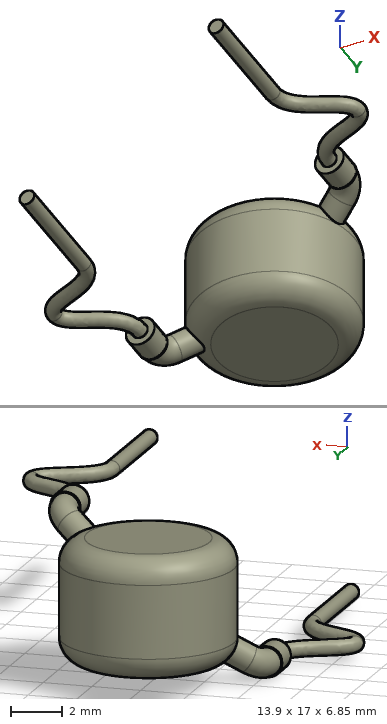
import cadquery as cq
import math

disc_diameter = 7.0
disc_height = 5.0
disc_edge_radius = 1.0

lead_diameter = 0.65
lead_x = 4.13
lead_z = 2.8
lead_end_y = -13.5
crimp_offset = 2.5
crimp_half_length = 2.5
crimp_base_handle = 1.6
crimp_peak_handle = 1.02

collar_diameter = 1.25
collar_length = 1.14
neck_diameter = 1.17
elbow_radius = 1.0
elbow_angle = 65.0
neck_end_x = 2.04

collar_end_y = -disc_diameter / 2
collar_start_y = collar_end_y + collar_length
crimp_middle_y = collar_end_y - crimp_half_length
crimp_end_y = crimp_middle_y - crimp_half_length
neck_roll = math.atan2(lead_z, lead_x)


def rod_along_y(diameter, start_y, end_y):
    """Straight round rod on the upper lead axis, running towards -Y."""
    plane = cq.Plane(origin=(lead_x, start_y, lead_z), xDir=(1, 0, 0), normal=(0, -1, 0))
    return cq.Workplane(plane).circle(diameter / 2).extrude(start_y - end_y)


def opposite(body):
    """The same body turned half a turn about Y."""
    return body.rotate((0, 0, 0), (0, 1, 0), 180)


def make_neck():
    """Elbow from the collar, followed by a straight run into the disc."""
    angle = math.radians(elbow_angle)

    def elbow_point(turn):
        return (elbow_radius * (1 - math.cos(turn)), elbow_radius * math.sin(turn))

    elbow_end = elbow_point(angle)
    run_length = (lead_x - neck_end_x) / math.cos(neck_roll) - elbow_end[0]
    neck_end = (elbow_end[0] + run_length, elbow_end[1] + run_length / math.tan(angle))

    inward = (-math.cos(neck_roll), 0, -math.sin(neck_roll))
    normal = (math.sin(neck_roll), 0, -math.cos(neck_roll))
    start = (lead_x, collar_start_y, lead_z)
    path = (
        cq.Workplane(cq.Plane(origin=start, xDir=inward, normal=normal))
        .threePointArc(elbow_point(angle / 2), elbow_end)
        .lineTo(*neck_end)
    )
    section = cq.Plane(origin=start, xDir=(1, 0, 0), normal=(0, 1, 0))
    return cq.Workplane(section).circle(neck_diameter / 2).sweep(path)


def make_lead():
    """Wire seated in the collar, with an outward crimp and a straight tail."""
    def s_bend(start, start_handle, end, end_handle):
        controls = [start, (start[0], start[1] - start_handle), (end[0], end[1] + end_handle), end]
        path = cq.Workplane("XY", origin=(0, 0, lead_z)).bezier(controls)
        section = cq.Plane(origin=(*start, lead_z), xDir=(1, 0, 0), normal=(0, -1, 0))
        return cq.Workplane(section).circle(lead_diameter / 2).sweep(path)

    crimp_start = (lead_x, collar_end_y)
    crimp_peak = (lead_x + crimp_offset, crimp_middle_y)
    crimp_end = (lead_x, crimp_end_y)
    return (
        rod_along_y(lead_diameter, collar_start_y, collar_end_y)
        .union(s_bend(crimp_start, crimp_base_handle, crimp_peak, crimp_peak_handle))
        .union(s_bend(crimp_peak, crimp_peak_handle, crimp_end, crimp_base_handle))
        .union(rod_along_y(lead_diameter, crimp_end_y, lead_end_y))
    )


def make_coating():
    """Rounded disc with its two sleeves, each bored for its lead."""
    coating = (
        cq.Workplane("XY")
        .workplane(offset=-disc_height / 2)
        .circle(disc_diameter / 2)
        .extrude(disc_height)
        .faces("|Z")
        .edges()
        .fillet(disc_edge_radius)
    )
    sleeve = make_neck().union(rod_along_y(collar_diameter, collar_start_y, collar_end_y))
    bore = rod_along_y(lead_diameter, collar_start_y, collar_end_y)
    sleeve = sleeve.cut(bore)
    for placed_sleeve in (sleeve, opposite(sleeve)):
        coating = coating.union(placed_sleeve)
    return coating


coating = make_coating()
upper_lead = make_lead()
leads = [upper_lead, opposite(upper_lead)]

result = cq.Compound.makeCompound([coating.solids().val(), *[lead.solids().val() for lead in leads]])